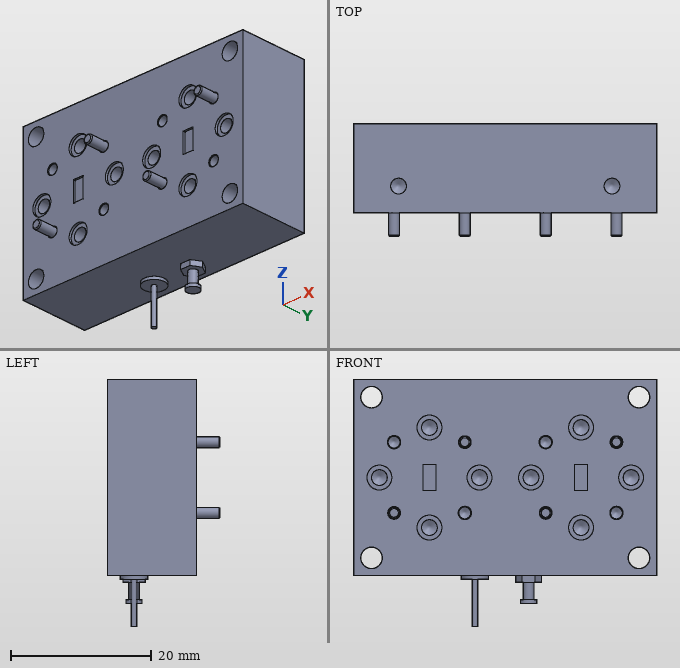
import cadquery as cq
import math

LENGTH = 43.2
DEPTH = 12.7
HEIGHT = 27.95
OVERALL_DEPTH = 16.05
OVERALL_HEIGHT = 35.2
BOTTOM_Z = -HEIGHT / 2

MOUNT_HOLE_DIA = 3.02
MOUNT_X = 19.05
MOUNT_Z = 11.45

PORT_SPACING = 21.6
PORT_CENTERS = [-PORT_SPACING / 2, PORT_SPACING / 2]
PORT_WIDTH = 1.9
PORT_HEIGHT = 3.75
WINDOW_RECESS = 0.35
WINDOW_THICKNESS = 0.4
BOLT_RADIUS = 7.12

DRILL_POINT_ANGLE = 118.0
TAP_DRILL_DIA = 2.25
TAP_DRILL_DEPTH = 6.48
SCREW_RECESS_DIA = 3.55
SCREW_RECESS_DEPTH = 0.45
TOP_HOLE_X = 15.2
TOP_HOLE_Y = 3.8

PIN_DIA = 1.6
PIN_CHAMFER = 0.17
PIN_PROTRUSION = OVERALL_DEPTH - DEPTH
PIN_EMBEDDED = 4.3
ALIGN_HOLE_DIA = 1.7
ALIGN_HOLE_DEPTH = 4.3
HOLE_CHAMFER = 0.11

TERMINAL_Y = 8.9
FEED_X = -4.3
FEED_FLANGE_DIA = 3.95
FEED_FLANGE_THICKNESS = 0.5
FEED_WIRE_DIA = 0.8
FEED_LENGTH = OVERALL_HEIGHT - HEIGHT
TURRET_X = 3.32
TURRET_HEX_FLATS = 3.2
TURRET_HEX_HEIGHT = 0.95
TURRET_POST_DIA = 1.55
TURRET_HEAD_DIA = 2.35
TURRET_HEAD_THICKNESS = 0.55
TURRET_LENGTH = 3.97

INTO_FRONT = cq.Vector(0, 1, 0)
DOWN = cq.Vector(0, 0, -1)


def drilled_hole(diameter, depth, start, direction):
    """Cylinder with a drill-point cone at its far end."""
    radius = diameter / 2
    tip_length = radius / math.tan(math.radians(DRILL_POINT_ANGLE / 2))
    bore = cq.Solid.makeCylinder(radius, depth, start, direction)
    tip = cq.Solid.makeCone(radius, 0, tip_length, start + direction * depth, direction)
    return bore.fuse(tip)


def hole_chamfer(diameter, start, direction):
    """Cone that breaks the rim of a hole."""
    radius = diameter / 2
    return cq.Solid.makeCone(radius + HOLE_CHAMFER, radius, HOLE_CHAMFER, start, direction)


def ring_point(port_x, degrees):
    """Point on the front face, on the bolt circle of one port."""
    angle = math.radians(degrees)
    return cq.Vector(port_x + BOLT_RADIUS * math.cos(angle), 0, BOLT_RADIUS * math.sin(angle))


SCREW_POINTS = [ring_point(x, a) for x in PORT_CENTERS for a in (0, 90, 180, 270)]
PIN_POINTS = [ring_point(x, a) for x in PORT_CENTERS for a in (45, 225)]
ALIGN_HOLE_POINTS = [ring_point(x, a) for x in PORT_CENTERS for a in (135, 315)]


def port_block(port_x, front_y, thickness):
    """Rectangular block with the waveguide cross-section."""
    block = cq.Workplane("XY").box(PORT_WIDTH, thickness, PORT_HEIGHT, centered=(True, False, True))
    return block.translate((port_x, front_y, 0))


def make_housing():
    """Block with all of its holes and recesses."""
    body = cq.Workplane("XY").box(LENGTH, DEPTH, HEIGHT, centered=(True, False, True))
    for x in (-MOUNT_X, MOUNT_X):
        for z in (-MOUNT_Z, MOUNT_Z):
            corner = cq.Vector(x, 0, z)
            body = body.cut(cq.Solid.makeCylinder(MOUNT_HOLE_DIA / 2, DEPTH, corner, INTO_FRONT))
    for point in SCREW_POINTS:
        body = body.cut(drilled_hole(TAP_DRILL_DIA, TAP_DRILL_DEPTH, point, INTO_FRONT))
        body = body.cut(cq.Solid.makeCylinder(SCREW_RECESS_DIA / 2, SCREW_RECESS_DEPTH, point, INTO_FRONT))
    for point in ALIGN_HOLE_POINTS:
        body = body.cut(drilled_hole(ALIGN_HOLE_DIA, ALIGN_HOLE_DEPTH, point, INTO_FRONT))
        body = body.cut(hole_chamfer(ALIGN_HOLE_DIA, point, INTO_FRONT))
    for point in PIN_POINTS:
        body = body.cut(cq.Solid.makeCylinder(PIN_DIA / 2, PIN_EMBEDDED, point, INTO_FRONT))
        body = body.cut(hole_chamfer(PIN_DIA, point, INTO_FRONT))
    for x in (-TOP_HOLE_X, TOP_HOLE_X):
        top_point = cq.Vector(x, TOP_HOLE_Y, HEIGHT / 2)
        body = body.cut(drilled_hole(TAP_DRILL_DIA, TAP_DRILL_DEPTH, top_point, DOWN))
    for x in PORT_CENTERS:
        body = body.cut(port_block(x, 0, WINDOW_RECESS + WINDOW_THICKNESS))
    return body


def make_window(port_x):
    """Pane that closes a waveguide port just below the front face."""
    return port_block(port_x, WINDOW_RECESS, WINDOW_THICKNESS)


def make_pin(point):
    """Alignment pin pressed into the front face, chamfered at its free end."""
    pin = cq.Workplane("XZ").circle(PIN_DIA / 2).extrude(PIN_EMBEDDED + PIN_PROTRUSION)
    pin = pin.faces("<Y").chamfer(PIN_CHAMFER)
    return pin.translate(point + INTO_FRONT * PIN_EMBEDDED)


def terminal_plane(x):
    """Workplane on the bottom face that extrudes downward."""
    return cq.Workplane(cq.Plane((x, TERMINAL_Y, BOTTOM_Z), (1, 0, 0), (0, 0, -1)))


def make_feedthrough():
    """Round flange on the bottom face with a wire hanging from it."""
    flange = terminal_plane(FEED_X).circle(FEED_FLANGE_DIA / 2).extrude(FEED_FLANGE_THICKNESS)
    wire = terminal_plane(FEED_X).circle(FEED_WIRE_DIA / 2).extrude(FEED_LENGTH)
    return flange.union(wire)


def make_turret():
    """Solder turret: hexagonal base, round post and wider head."""
    hex_corner_dia = TURRET_HEX_FLATS / math.cos(math.pi / 6)
    base = terminal_plane(TURRET_X).polygon(6, hex_corner_dia).extrude(TURRET_HEX_HEIGHT)
    post = terminal_plane(TURRET_X).circle(TURRET_POST_DIA / 2).extrude(TURRET_LENGTH)
    head_plane = terminal_plane(TURRET_X).workplane(offset=TURRET_LENGTH - TURRET_HEAD_THICKNESS)
    head = head_plane.circle(TURRET_HEAD_DIA / 2).extrude(TURRET_HEAD_THICKNESS)
    return base.union(post).union(head)


housing = make_housing()
windows = [make_window(x) for x in PORT_CENTERS]
pins = [make_pin(point) for point in PIN_POINTS]
feedthrough = make_feedthrough()
turret = make_turret()

result = cq.Compound.makeCompound([
    housing.val(),
    *[window.val() for window in windows],
    *[pin.val() for pin in pins],
    feedthrough.val(),
    turret.val(),
])